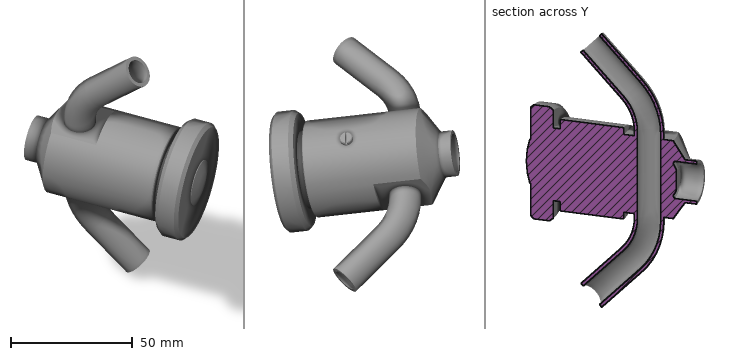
import cadquery as cq
import math

nozzle_end = 5.1
cone_end = 12.3
flat_end = 32.1
body_end = 60.1
cap_start = 63.0
cap_end = 73.1
dome_tip = 75.0

nozzle_radius = 19.0 / 2
body_radius = 20.0
body_edge_chamfer = 0.4
neck_radius = 16.0
cap_radius = 50.0 / 2
cap_chamfer_radial = 1.4
cap_front_chamfer_length = 1.8
cap_rear_chamfer_length = 1.4
dome_radius = 9.7
dome_rim_length = 0.4
flat_height = 17.1

inlet_radius = 16.0 / 2
seat_radius = 14.0 / 2
plug_tip_radius = 9.1 / 2
seat_start = 9.8
seat_length = 0.5
plug_tip_setback = 1.4

pipe_radius = 13.1 / 2
pipe_bore_radius = 10.0 / 2
pipe_x = 21.0
straight_end = 19.0
bend_radius = 25.7
bend_angle = 45
pipe_top = 59.7

screw_x = 41.3
screw_radius = 5.5 / 2
screw_top = 21.7
screw_embed = 2.4
screw_chamfer = 0.4
slot_width = 0.8
slot_depth = 1.2


def turned_body():
    dome_base = cap_end + dome_rim_length
    dome_height = dome_tip - dome_base
    sphere_radius = (dome_radius**2 + dome_height**2) / (2 * dome_height)
    sphere_center = dome_tip - sphere_radius
    half_angle = math.asin(dome_radius / sphere_radius) / 2
    dome_mid = (
        sphere_center + sphere_radius * math.cos(half_angle),
        sphere_radius * math.sin(half_angle),
    )
    profile = (
        cq.Workplane("XY")
        .lineTo(0, nozzle_radius)
        .lineTo(nozzle_end, nozzle_radius)
        .lineTo(cone_end, body_radius)
        .lineTo(body_end - body_edge_chamfer, body_radius)
        .lineTo(body_end, body_radius - body_edge_chamfer)
        .lineTo(body_end, neck_radius)
        .lineTo(cap_start, neck_radius)
        .lineTo(cap_start, cap_radius - cap_chamfer_radial)
        .lineTo(cap_start + cap_front_chamfer_length, cap_radius)
        .lineTo(cap_end - cap_rear_chamfer_length, cap_radius)
        .lineTo(cap_end, cap_radius - cap_chamfer_radial)
        .lineTo(cap_end, dome_radius)
        .lineTo(dome_base, dome_radius)
        .threePointArc(dome_mid, (dome_tip, 0))
        .close()
    )
    return profile.revolve(360, (0, 0, 0), (1, 0, 0))


def flat_cutter(side):
    """Block that leaves a flat on the top (side=1) or bottom (side=-1)."""
    height = cap_radius
    return cq.Workplane("XY").box(flat_end, 2 * body_radius, height).translate(
        (flat_end / 2, 0, side * (flat_height + height / 2))
    )


def inlet_cutter():
    """Bore with a tapered seat, less the plug's cone that points out through the seat."""
    seat_end = seat_start + seat_length
    profile = (
        cq.Workplane("XY")
        .lineTo(0, inlet_radius)
        .lineTo(seat_start, inlet_radius)
        .lineTo(seat_end, seat_radius)
        .lineTo(seat_end - plug_tip_setback, plug_tip_radius)
        .lineTo(seat_end - plug_tip_setback, 0)
        .close()
    )
    return profile.revolve(360, (0, 0, 0), (1, 0, 0))


def bent_rod(radius):
    """Upper pipe envelope: straight up from the axis, bent toward +X, then straight."""
    angle = math.radians(bend_angle)

    def bend_point(turn):
        return (
            pipe_x + bend_radius * (1 - math.cos(turn)),
            straight_end + bend_radius * math.sin(turn),
        )

    bend_end = bend_point(angle)
    end_z = pipe_top - pipe_radius * math.sin(angle)
    end_x = bend_end[0] + (end_z - bend_end[1]) * math.tan(angle)
    path = (
        cq.Workplane("XZ")
        .moveTo(pipe_x, 0)
        .lineTo(pipe_x, straight_end)
        .threePointArc(bend_point(angle / 2), bend_end)
        .lineTo(end_x, end_z)
    )
    return cq.Workplane("XY").center(pipe_x, 0).circle(radius).sweep(path)


def screw():
    base = body_radius - screw_embed
    head = (
        cq.Workplane("XZ", origin=(screw_x, base, 0))
        .circle(screw_radius)
        .extrude(base - screw_top)
        .faces(">Y")
        .chamfer(screw_chamfer)
    )
    slot = cq.Workplane("XY").box(slot_width, 2 * slot_depth, 3 * screw_radius).translate(
        (screw_x, screw_top, 0)
    )
    return head.cut(slot)


result = turned_body().cut(inlet_cutter())
for side in (1, -1):
    result = result.cut(flat_cutter(side))

upper_pipe = bent_rod(pipe_radius)
upper_bore = bent_rod(pipe_bore_radius)
result = result.union(upper_pipe).union(upper_pipe.mirror("XY"))
result = result.cut(upper_bore).cut(upper_bore.mirror("XY"))
result = result.union(screw())